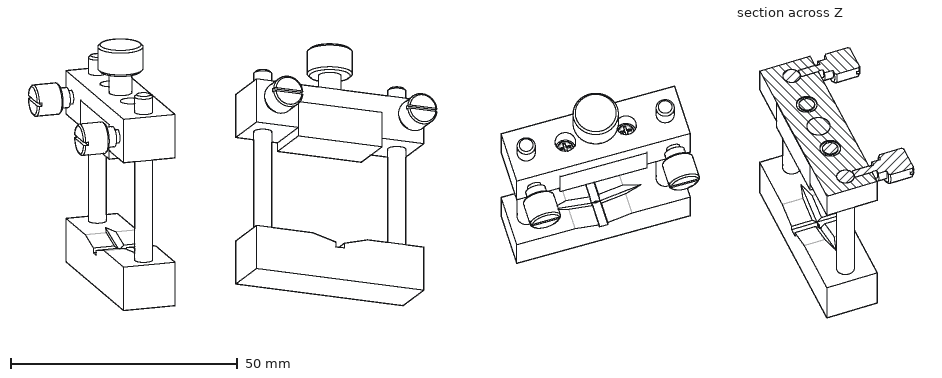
import cadquery as cq
import math


BASE_LENGTH = 40.0
BASE_DEPTH = 12.0
BASE_HEIGHT = 10.0
ROD_DIAMETER = 4.0
ROD_SPACING = 32.0
ROD_TOP = 48.0
ROD_CHAMFER = 0.5

SEAT_HALF_WIDTH = 6.55
SEAT_ANGLE = 15.0
SLOT_WIDTH = 2.0
SLOT_DEPTH = 2.6
GROOVE_WIDTH = 2.2
GROOVE_DEPTH = 1.05

BRIDGE_BOTTOM = 34.0
BRIDGE_HEIGHT = 10.0
BRIDGE_TOP = BRIDGE_BOTTOM + BRIDGE_HEIGHT

JAW_LENGTH = 20.0
JAW_BOTTOM = 32.0
JAW_HEIGHT = 8.0
JAW_TOP = JAW_BOTTOM + JAW_HEIGHT

THUMBSCREW_TOP = 55.0
KNOB_DIAMETER = 10.0
KNOB_HEIGHT = 6.0
KNOB_CHAMFER = 0.5
STEM_DIAMETER = 5.0
KNOB_BOTTOM = THUMBSCREW_TOP - KNOB_HEIGHT

LOCK_REACH = 9.0
LOCK_HEAD_DIAMETER = 7.0
LOCK_HEAD_LENGTH = 6.0
LOCK_HEAD_CHAMFER = 0.4
LOCK_COLLAR_DIAMETER = 4.5
LOCK_COLLAR_LENGTH = 2.0
LOCK_SHANK_DIAMETER = 3.0
LOCK_SLOT_WIDTH = 0.7
LOCK_SLOT_DEPTH = 1.0
LOCK_HEIGHT = BRIDGE_BOTTOM + BRIDGE_HEIGHT / 2
BRIDGE_FRONT = -BASE_DEPTH / 2
LOCK_END = -ROD_DIAMETER / 2
LOCK_HEAD_FRONT = BRIDGE_FRONT - LOCK_REACH
LOCK_HEAD_BACK = LOCK_HEAD_FRONT + LOCK_HEAD_LENGTH
LOCK_COLLAR_BACK = LOCK_HEAD_BACK + LOCK_COLLAR_LENGTH

JAW_SCREW_SPACING = 13.95
ACCESS_HOLE_DIAMETER = 4.5
JAW_SCREW_HEAD_DIAMETER = 3.5
JAW_SCREW_HEAD_HEIGHT = 1.0
JAW_SCREW_CROWN_DIAMETER = 2.65
JAW_SCREW_RIM_HEIGHT = 0.4
JAW_SCREW_SHOULDER_HEIGHT = 0.8
JAW_SCREW_SHANK_DIAMETER = 2.0
JAW_SCREW_SHANK_LENGTH = 4.0
CROSS_LENGTH = 2.4
CROSS_WIDTH = 0.5
CROSS_DEPTH = 0.55

ROD_CENTRES = [(-ROD_SPACING / 2, 0), (ROD_SPACING / 2, 0)]
JAW_SCREW_CENTRES = [(-JAW_SCREW_SPACING / 2, 0), (JAW_SCREW_SPACING / 2, 0)]


def upright_cylinder(diameter, bottom, top, centres):
    """Vertical cylinders from bottom to top, one at each (x, y) centre."""
    plane = cq.Workplane("XY").workplane(offset=bottom)
    return plane.pushPoints(centres).circle(diameter / 2).extrude(top - bottom)


def cylinder_along_y(diameter, front, back, x):
    """Cylinder at locking screw height, running from y = front to y = back."""
    plane = cq.Workplane("XZ", origin=(x, front, LOCK_HEIGHT))
    return plane.circle(diameter / 2).extrude(front - back)


def flank_drop(distance):
    """Height lost along the seat's flank over a horizontal distance."""
    return distance * math.tan(math.radians(SEAT_ANGLE))


def seat_cutter():
    """V seat with the relief slot, through the whole depth of the base."""
    slot_half = SLOT_WIDTH / 2
    slot_mouth = BASE_HEIGHT - flank_drop(SEAT_HALF_WIDTH - slot_half)
    slot_floor = BASE_HEIGHT - SLOT_DEPTH
    outline = [
        (-SEAT_HALF_WIDTH, BASE_HEIGHT),
        (-slot_half, slot_mouth),
        (-slot_half, slot_floor),
        (slot_half, slot_floor),
        (slot_half, slot_mouth),
        (SEAT_HALF_WIDTH, BASE_HEIGHT),
    ]
    return cq.Workplane("XZ").polyline(outline).close().extrude(BASE_DEPTH / 2, both=True)


def flank_groove_cutter():
    """V groove parallel to the right flank, from the seat's centre plane out through the top face."""
    run_out = GROOVE_DEPTH / math.tan(math.radians(SEAT_ANGLE))
    length = SEAT_HALF_WIDTH + run_out
    rise = flank_drop(length)
    flank_at_centre = BASE_HEIGHT - flank_drop(SEAT_HALF_WIDTH)
    section = [
        cq.Vector(0, -GROOVE_WIDTH / 2, flank_at_centre),
        cq.Vector(0, 0, flank_at_centre - GROOVE_DEPTH),
        cq.Vector(0, GROOVE_WIDTH / 2, flank_at_centre),
    ]
    outline = cq.Wire.makePolygon(section, close=True)
    return cq.Workplane(cq.Solid.extrudeLinear(outline, [], cq.Vector(length, 0, rise)))


def make_base():
    """Base block with its two guide rods."""
    block = cq.Workplane("XY").box(BASE_LENGTH, BASE_DEPTH, BASE_HEIGHT, centered=(True, True, False))
    groove = flank_groove_cutter()
    block = block.cut(seat_cutter()).cut(groove).cut(groove.mirror("YZ"))
    rods = upright_cylinder(ROD_DIAMETER, BASE_HEIGHT, ROD_TOP, ROD_CENTRES)
    rods = rods.faces(">Z").chamfer(ROD_CHAMFER)
    return block.union(rods)


def jaw_blank():
    """Plain jaw block, which also shapes the recess in the bridge."""
    blank = cq.Workplane("XY").box(JAW_LENGTH, BASE_DEPTH, JAW_HEIGHT, centered=(True, True, False))
    return blank.translate((0, 0, JAW_BOTTOM))


def make_bridge():
    """Sliding block with the jaw recess and the holes for the rods and screws."""
    bridge = cq.Workplane("XY").box(BASE_LENGTH, BASE_DEPTH, BRIDGE_HEIGHT, centered=(True, True, False))
    bridge = bridge.translate((0, 0, BRIDGE_BOTTOM))
    bridge = bridge.cut(jaw_blank())
    bridge = bridge.cut(upright_cylinder(ROD_DIAMETER, BRIDGE_BOTTOM, BRIDGE_TOP, ROD_CENTRES))
    bridge = bridge.cut(upright_cylinder(STEM_DIAMETER, JAW_TOP, BRIDGE_TOP, [(0, 0)]))
    bridge = bridge.cut(upright_cylinder(ACCESS_HOLE_DIAMETER, JAW_TOP, BRIDGE_TOP, JAW_SCREW_CENTRES))
    for x, _ in ROD_CENTRES:
        bridge = bridge.cut(cylinder_along_y(LOCK_SHANK_DIAMETER, BRIDGE_FRONT, LOCK_END, x))
    return bridge


def make_jaw():
    """Jaw block with blind holes for its two screws."""
    hole_bottom = JAW_TOP - JAW_SCREW_SHANK_LENGTH
    return jaw_blank().cut(
        upright_cylinder(JAW_SCREW_SHANK_DIAMETER, hole_bottom, JAW_TOP, JAW_SCREW_CENTRES)
    )


def make_thumbscrew():
    """Chamfered knob on a stem that reaches the top of the jaw."""
    knob = upright_cylinder(KNOB_DIAMETER, KNOB_BOTTOM, THUMBSCREW_TOP, [(0, 0)])
    knob = knob.faces("<Z or >Z").chamfer(KNOB_CHAMFER)
    return knob.union(upright_cylinder(STEM_DIAMETER, JAW_TOP, KNOB_BOTTOM, [(0, 0)]))


def make_lock_screw(x):
    """Slotted screw with a collar, its shank ending at the rod."""
    head = cylinder_along_y(LOCK_HEAD_DIAMETER, LOCK_HEAD_FRONT, LOCK_HEAD_BACK, x)
    head = head.faces("<Y or >Y").chamfer(LOCK_HEAD_CHAMFER)
    slot = cq.Workplane("XY").box(LOCK_HEAD_DIAMETER, 2 * LOCK_SLOT_DEPTH, LOCK_SLOT_WIDTH)
    head = head.cut(slot.translate((x, LOCK_HEAD_FRONT, LOCK_HEIGHT)))
    collar = cylinder_along_y(LOCK_COLLAR_DIAMETER, LOCK_HEAD_BACK, LOCK_COLLAR_BACK, x)
    shank = cylinder_along_y(LOCK_SHANK_DIAMETER, LOCK_COLLAR_BACK, LOCK_END, x)
    return head.union(collar).union(shank)


def make_jaw_screw(x):
    """Domed cross-head screw whose head rests on the jaw."""
    head_radius = JAW_SCREW_HEAD_DIAMETER / 2
    crown_radius = JAW_SCREW_CROWN_DIAMETER / 2
    shank_radius = JAW_SCREW_SHANK_DIAMETER / 2
    edge_middle = (
        head_radius - (head_radius - crown_radius) * (1 - math.sqrt(0.5)),
        JAW_SCREW_RIM_HEIGHT + (JAW_SCREW_SHOULDER_HEIGHT - JAW_SCREW_RIM_HEIGHT) * math.sqrt(0.5),
    )
    crown_rise = JAW_SCREW_HEAD_HEIGHT - JAW_SCREW_SHOULDER_HEIGHT
    crown_middle = (crown_radius / 2, JAW_SCREW_HEAD_HEIGHT - crown_rise / 4)
    screw = (
        cq.Workplane("XZ")
        .moveTo(0, -JAW_SCREW_SHANK_LENGTH)
        .lineTo(shank_radius, -JAW_SCREW_SHANK_LENGTH)
        .lineTo(shank_radius, 0)
        .lineTo(head_radius, 0)
        .lineTo(head_radius, JAW_SCREW_RIM_HEIGHT)
        .threePointArc(edge_middle, (crown_radius, JAW_SCREW_SHOULDER_HEIGHT))
        .threePointArc(crown_middle, (0, JAW_SCREW_HEAD_HEIGHT))
        .close()
        .revolve(360, (0, 0, 0), (0, 1, 0))
    )
    arm = cq.Workplane("XY").box(CROSS_LENGTH, CROSS_WIDTH, 2 * CROSS_DEPTH)
    arm = arm.translate((0, 0, JAW_SCREW_HEAD_HEIGHT))
    cross = arm.union(arm.rotate((0, 0, 0), (0, 0, 1), 90))
    return screw.cut(cross).translate((x, 0, JAW_TOP))


base = make_base()
bridge = make_bridge()
jaw = make_jaw()
thumbscrew = make_thumbscrew()
lock_screws = [make_lock_screw(x) for x, _ in ROD_CENTRES]
jaw_screws = [make_jaw_screw(x) for x, _ in JAW_SCREW_CENTRES]

result = cq.Compound.makeCompound([
    base.val(),
    bridge.val(),
    jaw.val(),
    thumbscrew.val(),
    *[screw.val() for screw in lock_screws],
    *[screw.val() for screw in jaw_screws],
])